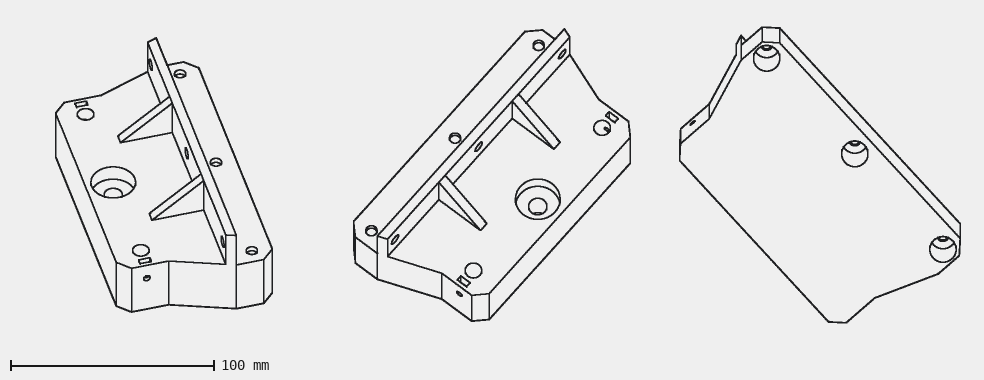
import cadquery as cq

length_x = 145.5
depth_y = 76.5
height_z = 50.0
block_height = 30.0
front_width = 122.1
corner_chamfer = 6.1
shoulder_y = 25.0

ledge_depth = 20.1
plate_thickness = 5.0
plate_back_y = depth_y - ledge_depth
plate_front_y = plate_back_y - plate_thickness
plate_height = height_z - block_height

rib_thickness = 5.0
rib_offset_x = 28.5

mount_diameter = 5.5
mount_offset_x = 65.0
mount_xs = (-mount_offset_x, 0, mount_offset_x)
ledge_lip = 2.8
ledge_counterbore_diameter = 13.0

bore_row_y = 14.0
centre_recess_diameter = 22.0
centre_recess_depth = 8.5
centre_bore_diameter = 9.0
rod_bore_diameter = 8.1
rod_offset_x = 50.0
bore_floor = 5.0
bore_depth = block_height - bore_floor

screw_diameter = 3.2
screw_z = 21.1
slot_offset_x = 57.6
slot_width = 2.8
slot_length = 5.8
slot_depth = block_height - screw_z + slot_length / 2


def make_outline():
    """Plan outline: narrow at the front, flaring out to full length, with cut corners."""
    half_front = front_width / 2
    half_length = length_x / 2
    right_side = [
        (half_front - corner_chamfer, 0),
        (half_front, corner_chamfer),
        (half_front, shoulder_y),
        (half_length, plate_back_y),
        (half_length, depth_y - corner_chamfer),
        (half_length - corner_chamfer, depth_y),
    ]
    left_side = [(-x, y) for x, y in reversed(right_side)]
    return cq.Workplane("XY").polyline(right_side + left_side).close()


def make_plate():
    """Upright plate whose ends follow the flared sides of the block."""
    band = cq.Workplane("XY").box(length_x, plate_thickness, height_z, centered=(True, False, False))
    return make_outline().extrude(height_z).intersect(band.translate((0, plate_front_y, 0)))


def make_rib(center_x):
    """Triangular rib from the top of the plate down to the shoulder."""
    rib = (
        cq.Workplane("YZ")
        .polyline([(shoulder_y, 0), (plate_front_y, 0), (plate_front_y, plate_height)])
        .close()
        .extrude(rib_thickness / 2, both=True)
    )
    return rib.translate((center_x, 0, block_height))


def make_top_bore(x, y, diameter, depth):
    """Cutter for a round bore sunk from the top of the block."""
    return cq.Workplane("XY", origin=(x, y, block_height)).circle(diameter / 2).extrude(-depth)


def make_ledge_hole(x):
    """Cutter for a hole through the ledge, widened from the underside up to a thin lip."""
    y = depth_y - ledge_depth / 2
    counterbore = (
        cq.Workplane("XY", origin=(x, y, 0))
        .circle(ledge_counterbore_diameter / 2)
        .extrude(block_height - ledge_lip)
    )
    return make_top_bore(x, y, mount_diameter, block_height).union(counterbore)


def make_plate_hole(x):
    """Cutter for a round hole through the plate, midway up its free height."""
    hole_z = block_height + plate_height / 2
    plane = cq.Workplane("XZ", origin=(x, plate_back_y, hole_z))
    return plane.circle(mount_diameter / 2).extrude(plate_thickness)


def make_clamp(side):
    """Cutter for a screw hole from the side into the rod bore, with its nut slot."""
    screw_length = front_width / 2 - rod_offset_x
    screw = (
        cq.Workplane("YZ", origin=(side * rod_offset_x, bore_row_y, screw_z))
        .circle(screw_diameter / 2)
        .extrude(side * screw_length)
    )
    slot = (
        cq.Workplane("XY", origin=(side * slot_offset_x, bore_row_y, block_height))
        .rect(slot_width, slot_length)
        .extrude(-slot_depth)
    )
    return screw.union(slot)


result = make_outline().extrude(block_height).union(make_plate())
for side in (-1, 1):
    result = result.union(make_rib(side * rib_offset_x))

for mount_x in mount_xs:
    result = result.cut(make_ledge_hole(mount_x)).cut(make_plate_hole(mount_x))

result = result.cut(make_top_bore(0, bore_row_y, centre_recess_diameter, centre_recess_depth))
result = result.cut(make_top_bore(0, bore_row_y, centre_bore_diameter, bore_depth))

for side in (-1, 1):
    rod_bore = make_top_bore(side * rod_offset_x, bore_row_y, rod_bore_diameter, bore_depth)
    result = result.cut(rod_bore).cut(make_clamp(side))